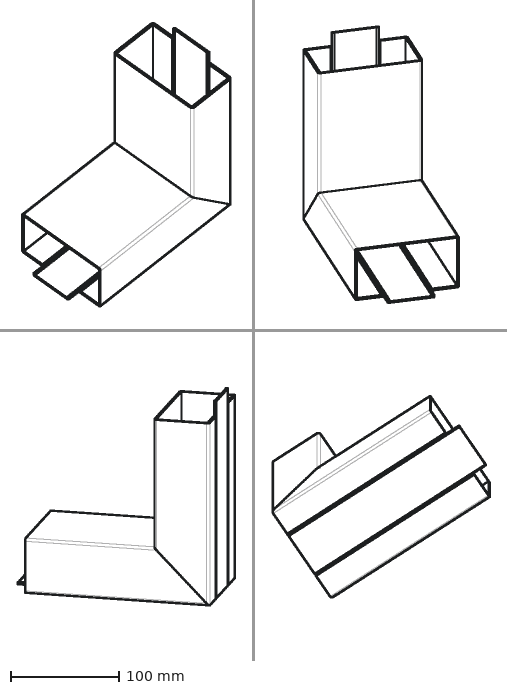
import cadquery as cq

leg_length = 189.0
duct_width = 100.0
duct_depth = 52.5
wall = 2.0
inner_wall = 1.5
corner_radius = 2.5

strip_overhang = 14.0
strip_width = 45.0
strip_thickness = wall
lip_width = 2.3
lip_height = 0.47
slot_clearance = 1.5
step_width = 0.8
step_depth = 0.8

duct_length = leg_length - strip_overhang
slot_width = strip_width + 2 * slot_clearance
ledge_gap_width = slot_width - 2 * step_width
strip_outer_width = strip_width - 2 * step_width
strip_base = strip_thickness - lip_height
channel_width = strip_width - 2 * lip_width


def upright_box(width, back, front, height):
    """Box centred in X that lies between two depths behind the outer face, standing on Z = 0."""
    return (
        cq.Workplane("XY")
        .center(0, -(back + front) / 2)
        .rect(width, front - back)
        .extrude(height)
    )


def miter(body):
    """Keep the part of an upright body above the 45 degree joint plane Z = -Y."""
    below_joint = (
        cq.Workplane("YZ")
        .polyline([(0, 0), (-leg_length, 0), (-leg_length, leg_length)])
        .close()
        .extrude(duct_width, both=True)
    )
    return body.cut(below_joint)


def make_duct():
    """Upright rectangular duct with rounded outer edges and a stepped slot along its outer wall."""
    outside = upright_box(duct_width, 0, duct_depth, duct_length).edges("|Z").fillet(corner_radius)
    bore = upright_box(duct_width - 2 * wall, wall, duct_depth - inner_wall, duct_length)
    slot = upright_box(slot_width, step_depth, wall, duct_length)
    ledge_gap = upright_box(ledge_gap_width, 0, step_depth, duct_length)
    return miter(outside.cut(bore).cut(slot).cut(ledge_gap))


def make_cover_strip():
    """Upright flat strip with a low lip and an outer rebate along each edge."""
    outer_part = upright_box(strip_outer_width, 0, step_depth, leg_length)
    inner_part = upright_box(strip_width, step_depth, strip_thickness, leg_length)
    channel = upright_box(channel_width, strip_base, strip_thickness, leg_length)
    return miter(outer_part.union(inner_part).cut(channel))


joint_normal = (0, 1, 1)
bodies = []
for upright in (make_duct(), make_cover_strip()):
    level = upright.mirror(joint_normal)
    bodies += [upright.val(), level.val()]

result = cq.Compound.makeCompound(bodies)